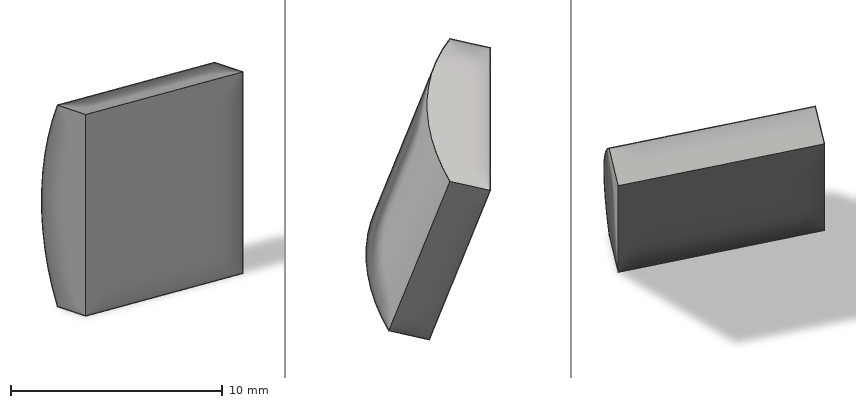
import cadquery as cq

side = 10.0
center_thickness = 3.13
edge_thickness = 2.0

half_side = side / 2
back_x = center_thickness / 2
edge_x = back_x - edge_thickness
crown_x = back_x - center_thickness

profile = (
    cq.Workplane("XZ")
    .moveTo(edge_x, -half_side)
    .lineTo(back_x, -half_side)
    .lineTo(back_x, half_side)
    .lineTo(edge_x, half_side)
    .threePointArc((crown_x, 0), (edge_x, -half_side))
    .close()
)

result = profile.extrude(half_side, both=True)